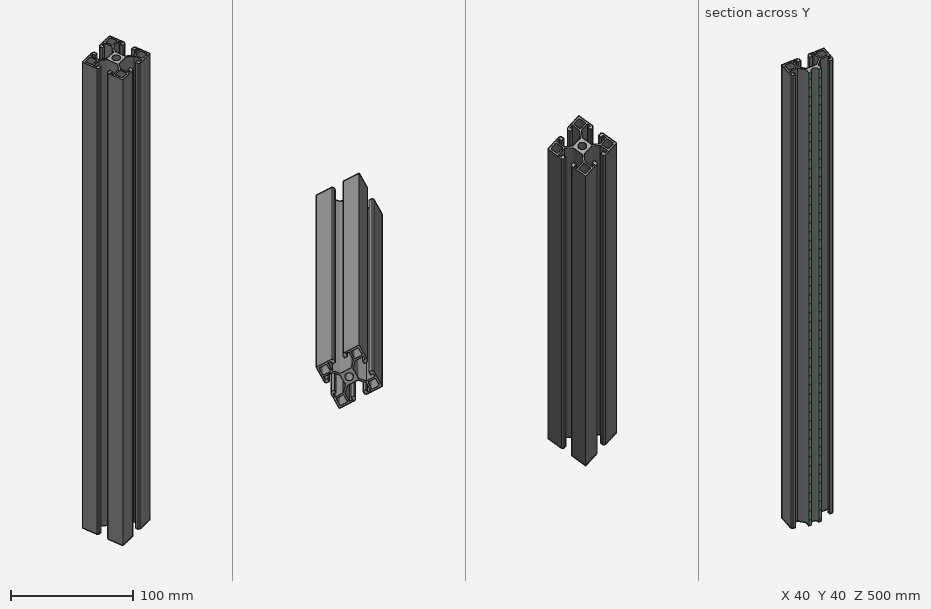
import cadquery as cq
import math

length = 500.0
width = 40.0
half_width = width / 2

slot_half_opening = 4.1
lip_chamfer = 1.25
skin_thickness = 1.5
lip_depth = 3.9
lip_width = 2.9

box_outer_wall = 1.75
box_inner_wall = 1.5
box_bore_width = 7.0
box_bore_fillet = 1.0
box_size = box_outer_wall + box_bore_width + box_inner_wall
box_inner = half_width - box_size

core_width = 12.0
core_bore_radius = 3.4
web_thickness = 1.6
web_fillet = 1.5


def core_with_webs():
    """Square core crossed by two diagonal plates, with fillets where the plates leave the core."""
    plate_length = 2 * math.sqrt(2) * (box_inner + box_inner_wall / 2)
    plate = cq.Workplane("XY").rect(plate_length, web_thickness).extrude(length)
    body = cq.Workplane("XY").rect(core_width, core_width).extrude(length)
    for angle in (45, 135):
        body = body.union(plate.rotate((0, 0, 0), (0, 0, 1), angle))
    reach = core_width / 2 + web_thickness / 4
    core_region = cq.selectors.BoxSelector((-reach, -reach, 0), (reach, reach, length))
    return body.edges("|Z").edges(core_region).fillet(web_fillet)


def corner_section():
    """Solid corner box in the +X +Y quadrant with the two lips that reach towards the slots."""
    skin_inner = half_width - skin_thickness
    lip_inner = half_width - lip_depth
    lip_back = slot_half_opening + lip_width
    lip_on_top = [
        (box_inner, skin_inner),
        (lip_back, skin_inner),
        (lip_back, lip_inner),
        (slot_half_opening, lip_inner),
        (slot_half_opening, half_width - lip_chamfer),
        (slot_half_opening + lip_chamfer, half_width),
    ]
    lip_on_side = [(y, x) for x, y in reversed(lip_on_top)]
    outline = [(box_inner, box_inner)] + lip_on_top + [(half_width, half_width)] + lip_on_side
    return cq.Workplane("XY").polyline(outline).close().extrude(length)


def corner_bore():
    """Square through bore with rounded corners for the +X +Y corner box."""
    center = half_width - box_outer_wall - box_bore_width / 2
    bore = cq.Workplane("XY").center(center, center).rect(box_bore_width, box_bore_width).extrude(length)
    return bore.edges("|Z").fillet(box_bore_fillet)


profile = core_with_webs()
for quarter in range(4):
    angle = 90 * quarter
    profile = profile.union(corner_section().rotate((0, 0, 0), (0, 0, 1), angle))
    profile = profile.cut(corner_bore().rotate((0, 0, 0), (0, 0, 1), angle))

core_bore = cq.Workplane("XY").circle(core_bore_radius).extrude(length)
result = profile.cut(core_bore)